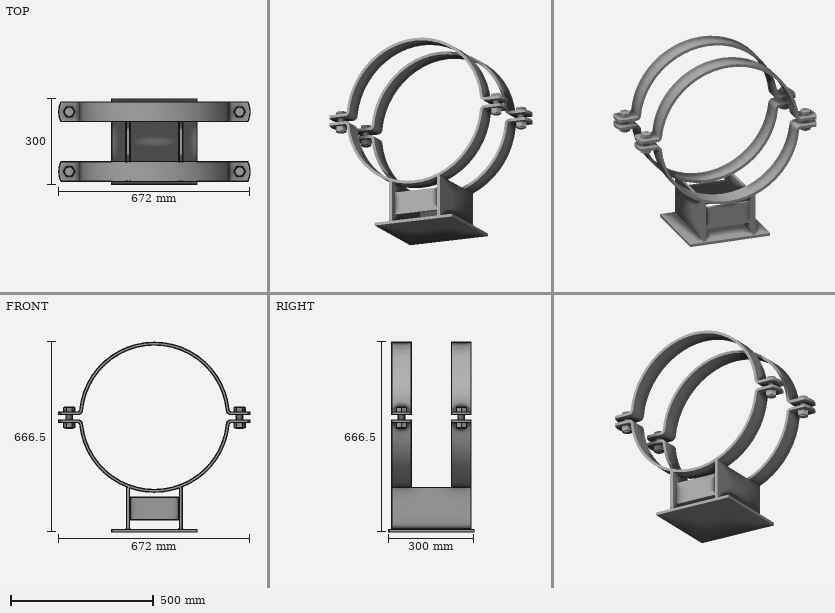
import cadquery as cq
import math

ring_radius = 263.5
strip_thickness = 10.0
strip_width = 70.0
clamp_offset = 105.0
split_gap = 18.0
bend_radius = 7.0
ear_reach = 336.0
ear_tip_radius = 80.0

bolt_offset = 299.0
bolt_diameter = 24.0
bolt_end_diameter = 22.0
bolt_protrusion = 3.0
hex_sides = 6
hex_across_flats = 35.0
hex_face_diameter = 33.0
head_height = 16.0
nut_height = 18.0
corner_chamfer_angle = 30

base_size = 300.0
base_thickness = 10.0
base_bottom = -403.0
wall_span = 196.0
wall_thickness = 11.0
wall_height = 147.0
web_height = 80.0
web_thickness = 10.0
web_clearance = 33.0
weld_leg = 3.0

bore_radius = ring_radius - strip_thickness
ear_inner = split_gap / 2
ear_outer = ear_inner + strip_thickness
base_top = base_bottom + base_thickness
wall_top = base_top + wall_height
wall_length = 2 * clamp_offset + strip_width
wall_outer = wall_span / 2
wall_inner = wall_outer - wall_thickness
web_bottom = base_top + web_clearance
hex_corner_diameter = hex_across_flats / math.cos(math.pi / hex_sides)


def polar(center, radius, angle):
    """Point (x, z) at a radius and angle around a centre."""
    return (center[0] + radius * math.cos(angle), center[1] + radius * math.sin(angle))


def mirrored(point):
    return (-point[0], point[1])


def half_clamp():
    """Upper half ring with two bent ears, centred on Y = 0."""
    bend_z = ear_outer + bend_radius
    bend_angle = math.asin(bend_z / (ring_radius + bend_radius))
    bend_center = polar((0, 0), ring_radius + bend_radius, bend_angle)
    turn_start = math.pi + bend_angle
    turn_end = 1.5 * math.pi
    turn_middle = (turn_start + turn_end) / 2
    tight = [polar(bend_center, bend_radius, a) for a in (turn_start, turn_middle, turn_end)]
    wide_radius = bend_radius + strip_thickness
    wide = [polar(bend_center, wide_radius, a) for a in (turn_start, turn_middle, turn_end)]

    strip = (
        cq.Workplane("XZ")
        .moveTo(ear_reach, ear_outer)
        .lineTo(*tight[2])
        .threePointArc(tight[1], tight[0])
        .threePointArc((0, ring_radius), mirrored(tight[0]))
        .threePointArc(mirrored(tight[1]), mirrored(tight[2]))
        .lineTo(-ear_reach, ear_outer)
        .lineTo(-ear_reach, ear_inner)
        .lineTo(*mirrored(wide[2]))
        .threePointArc(mirrored(wide[1]), mirrored(wide[0]))
        .threePointArc((0, bore_radius), wide[0])
        .threePointArc(wide[1], wide[2])
        .lineTo(ear_reach, ear_inner)
        .close()
        .extrude(strip_width / 2, both=True)
    )
    half_width = strip_width / 2
    tip_drop = ear_tip_radius - math.sqrt(ear_tip_radius**2 - half_width**2)
    shoulder = ear_reach - tip_drop
    plan = (
        cq.Workplane("XY")
        .moveTo(-shoulder, -half_width)
        .lineTo(shoulder, -half_width)
        .threePointArc((ear_reach, 0), (shoulder, half_width))
        .lineTo(-shoulder, half_width)
        .threePointArc((-ear_reach, 0), (-shoulder, -half_width))
        .close()
        .extrude(ring_radius)
    )
    return strip.intersect(plan)


def hexagon(height):
    """Hexagon standing on Z = 0 with its upper corners chamfered to a circle."""
    prism = cq.Workplane("XY").polygon(hex_sides, hex_corner_diameter).extrude(height)
    slope = math.tan(math.radians(corner_chamfer_angle))
    face_radius = hex_face_diameter / 2
    cone_radius = face_radius + height / slope
    cone = (
        cq.Workplane("XZ")
        .polyline([(0, 0), (cone_radius, 0), (face_radius, height), (0, height)])
        .close()
        .revolve(360, (0, 0), (0, 1))
    )
    return prism.intersect(cone)


def bolt():
    """Bolt and nut on the Z axis, head up, clamping both ears."""
    shank_bottom = -ear_outer - nut_height - bolt_protrusion
    end_chamfer = (bolt_diameter - bolt_end_diameter) / 2
    shank = (
        cq.Workplane("XY", origin=(0, 0, shank_bottom))
        .circle(bolt_diameter / 2)
        .extrude(ear_outer - shank_bottom)
        .faces("<Z")
        .chamfer(end_chamfer)
    )
    head = hexagon(head_height).translate((0, 0, ear_outer))
    nut = hexagon(nut_height).mirror("XY").translate((0, 0, -ear_outer))
    return shank.union(head).union(nut)


def clamp():
    """Complete ring: two halves and a bolt on each side."""
    upper = half_clamp()
    ring = upper.union(upper.mirror("XY"))
    for side in (-1, 1):
        ring = ring.union(bolt().translate((side * bolt_offset, 0, 0)))
    return ring


def box(x_range, y_range, z_range):
    size = [high - low for low, high in (x_range, y_range, z_range)]
    corner = (x_range[0], y_range[0], z_range[0])
    return cq.Workplane("XY").box(*size, centered=False).translate(corner)


def wall():
    """Right-hand wall reaching up to the rings, with weld beads on the base plate."""
    half_length = wall_length / 2
    plate = box((wall_inner, wall_outer), (-half_length, half_length), (base_top, wall_top))
    beads = (
        cq.Workplane("XZ")
        .moveTo(wall_inner - weld_leg, base_top)
        .lineTo(wall_outer + weld_leg, base_top)
        .lineTo(wall_outer, base_top + weld_leg)
        .lineTo(wall_inner, base_top + weld_leg)
        .close()
        .extrude(half_length, both=True)
    )
    return plate.union(beads)


def web():
    """Cross plate between the walls, with weld beads up its ends, centred on Y = 0."""
    half = web_thickness / 2
    weld_start = wall_inner - weld_leg
    right_half = [
        (0, -half),
        (weld_start, -half),
        (wall_inner, -half - weld_leg),
        (wall_inner, half + weld_leg),
        (weld_start, half),
        (0, half),
    ]
    plate = (
        cq.Workplane("XY", origin=(0, 0, web_bottom))
        .polyline(right_half)
        .close()
        .extrude(web_height)
    )
    return plate.union(plate.mirror("YZ"))


def stand():
    """Base plate, two walls and a web below each clamp."""
    half_base = base_size / 2
    body = box((-half_base, half_base), (-half_base, half_base), (base_bottom, base_top))
    body = body.union(wall()).union(wall().mirror("YZ"))
    for side in (-1, 1):
        body = body.union(web().translate((0, side * clamp_offset, 0)))
    return body


result = stand()
for clamp_side in (-1, 1):
    result = result.union(clamp().translate((0, clamp_side * clamp_offset, 0)))